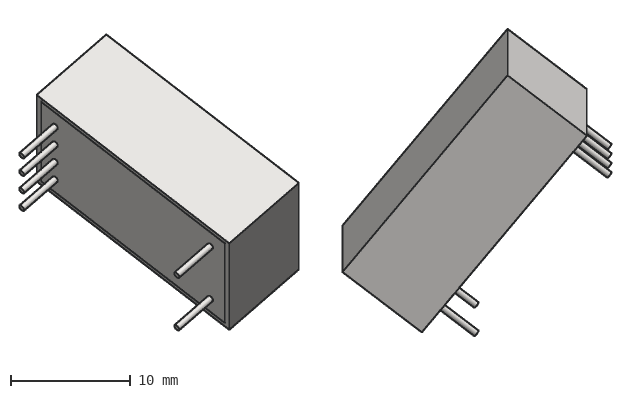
import cadquery as cq

housing_length = 22.1
housing_height = 12.55
overall_depth = 12.6
pin_protrusion = 4.1
housing_depth = overall_depth - pin_protrusion
wall = 0.5

pin_diameter = 0.6
pin_pitch = 2.55
columns_apart_in_pitches = 7
left_rows = (0, 1, 2, 3)
right_rows = (left_rows[0], left_rows[-1])
right_column_x = columns_apart_in_pitches * pin_pitch / 2
left_column_x = -right_column_x
bottom_row_z = -left_rows[-1] * pin_pitch / 2

fill_length = housing_length - 2 * wall
fill_height = housing_height - 2 * wall
fill_depth = housing_depth - wall


def block(length, depth, height):
    """Box centred on X and Z that runs from Y = 0 to Y = depth."""
    return cq.Workplane("XY").box(length, depth, height, centered=(True, False, True))


def make_housing():
    """Five-sided shell with an even wall."""
    cavity = block(fill_length, fill_depth, fill_height)
    return block(housing_length, housing_depth, housing_height).cut(cavity)


def make_fill():
    """Potting block that fills the housing flush with its open face."""
    return block(fill_length, fill_depth, fill_height)


def make_pin(x, z):
    """Round pin standing on the outer face of the fill."""
    return (
        cq.Workplane("XZ", origin=(x, 0, z))
        .circle(pin_diameter / 2)
        .extrude(pin_protrusion)
    )


pin_places = [(left_column_x, bottom_row_z + row * pin_pitch) for row in left_rows]
pin_places += [(right_column_x, bottom_row_z + row * pin_pitch) for row in right_rows]

housing = make_housing()
fill = make_fill()
pins = [make_pin(x, z) for x, z in pin_places]

result = cq.Compound.makeCompound([housing.val(), fill.val(), *[pin.val() for pin in pins]])